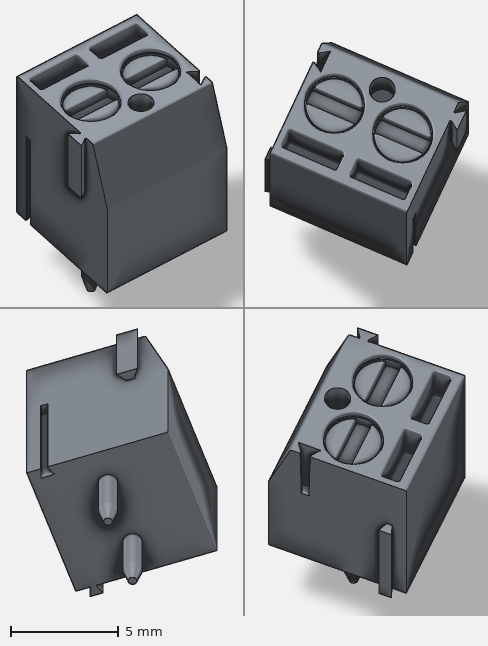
import cadquery as cq
import math


HOUSING_LENGTH = 7.0
POLE_PITCH = 3.5
POLE_COUNT = 2
HOUSING_WIDTH = POLE_COUNT * POLE_PITCH
HOUSING_HEIGHT = 8.7
SLOPE_RUN = 1.12
SLOPE_DROP = 3.35
EDGE_RADIUS = 0.1

BACK_X = -HOUSING_LENGTH / 2
WIRE_X = HOUSING_LENGTH / 2
SIDE_Y = HOUSING_WIDTH / 2
POLE_Y = [(i - (POLE_COUNT - 1) / 2) * POLE_PITCH for i in range(POLE_COUNT)]
POLE_X = BACK_X + 3.43

SCREW_RADIUS = 1.335
SCREW_SINK = 0.3
SCREW_EDGE_RADIUS = 0.09
COUNTERBORE_RADIUS = 1.4
COUNTERBORE_DEPTH = 0.23
SLOT_WIDTH = 0.8
SLOT_DEPTH = 0.5
SLOT_EDGE_RADIUS = 0.06

POCKET_LENGTH = 0.9
POCKET_WIDTH = 2.8
POCKET_DEPTH = 2.0
POCKET_CORNER_RADIUS = 0.12
POCKET_FLOOR_RADIUS = 0.1
POCKET_X = BACK_X + 0.98

HOLE_DIAMETER = 1.2
HOLE_DEPTH = 2.0
HOLE_X = BACK_X + 4.98

DOVETAIL_HEIGHT = 0.5
DOVETAIL_NECK = 0.08
DOVETAIL_OVERLAP = 0.1
GROOVE_CLEARANCE = 0.03
WIDE_X = BACK_X + 5.14
WIDE_NECK_WIDTH = 0.45
WIDE_TIP_WIDTH = 1.05
WIDE_LENGTH = 3.35
WIDE_GROOVE_DRAFT = 1.0
NARROW_X = BACK_X + 0.88
NARROW_NECK_WIDTH = 0.34
NARROW_TIP_WIDTH = 0.64
NARROW_LENGTH = 5.35

PIN_DIAMETER = 0.9
PIN_TIP_DIAMETER = 0.4
PIN_TIP_LENGTH = 0.9
PIN_LENGTH = 3.32


def make_housing():
    """Side outline extruded across the width, with its long edges rounded."""
    outline = [
        (BACK_X, 0),
        (WIRE_X, 0),
        (WIRE_X, HOUSING_HEIGHT - SLOPE_DROP),
        (WIRE_X - SLOPE_RUN, HOUSING_HEIGHT),
        (BACK_X, HOUSING_HEIGHT),
    ]
    block = cq.Workplane("XZ").polyline(outline).close().extrude(SIDE_Y, both=True)
    return block.edges("|Y").fillet(EDGE_RADIUS)


def arc_bend(radius):
    """Offset, along both legs of a square corner, of the middle of its rounding."""
    return radius * (1 - math.sqrt(0.5))


def make_screw_hole():
    """Stepped recess above a screw head, from its rounded rim at Z = 0 to the rounded head."""
    rim_bend = arc_bend(EDGE_RADIUS)
    head_bend = arc_bend(SCREW_EDGE_RADIUS)
    return (
        cq.Workplane("XZ")
        .lineTo(COUNTERBORE_RADIUS + EDGE_RADIUS, 0)
        .threePointArc((COUNTERBORE_RADIUS + rim_bend, -rim_bend), (COUNTERBORE_RADIUS, -EDGE_RADIUS))
        .lineTo(COUNTERBORE_RADIUS, -COUNTERBORE_DEPTH)
        .lineTo(SCREW_RADIUS, -COUNTERBORE_DEPTH)
        .lineTo(SCREW_RADIUS, -SCREW_SINK - SCREW_EDGE_RADIUS)
        .threePointArc(
            (SCREW_RADIUS - head_bend, -SCREW_SINK - head_bend),
            (SCREW_RADIUS - SCREW_EDGE_RADIUS, -SCREW_SINK),
        )
        .lineTo(0, -SCREW_SINK)
        .close()
        .revolve(360, (0, 0, 0), (0, 1, 0))
    )


def make_slot():
    """Driver slot with flared top edges, its ends following the rim of the head."""
    half = SLOT_WIDTH / 2
    e = SLOT_EDGE_RADIUS
    bend = arc_bend(e)
    top = -SCREW_SINK
    profile = (
        cq.Workplane("XZ")
        .moveTo(-half - e, top)
        .threePointArc((-half - bend, top - bend), (-half, top - e))
        .lineTo(-half, top - SLOT_DEPTH)
        .lineTo(half, top - SLOT_DEPTH)
        .lineTo(half, top - e)
        .threePointArc((half + bend, top - bend), (half + e, top))
        .close()
        .extrude(SCREW_RADIUS, both=True)
    )
    bound = cq.Workplane("XY").circle(SCREW_RADIUS).extrude(-SCREW_SINK - SLOT_DEPTH)
    return profile.intersect(bound)


def cut_pockets(body):
    """Rectangular test pockets beside the screws, with rounded rims and floors."""
    pocket = (
        cq.Workplane("XY")
        .rect(POCKET_LENGTH, POCKET_WIDTH)
        .extrude(-POCKET_DEPTH)
        .edges("|Z")
        .fillet(POCKET_CORNER_RADIUS)
        .faces("<Z")
        .edges()
        .fillet(POCKET_FLOOR_RADIUS)
    )
    for y in POLE_Y:
        body = body.cut(pocket.translate((POCKET_X, y, HOUSING_HEIGHT)))
    top_face = body.faces(">Z").val()
    rims = [edge for wire in top_face.innerWires() for edge in wire.Edges()]
    return body.newObject(rims).fillet(EDGE_RADIUS)


def dovetail_outline(neck_width, tip_width, height):
    """Outline on XY: straight neck crossing Y = 0, then flaring to the tip at Y = height."""
    right_side = [
        (neck_width / 2, -DOVETAIL_OVERLAP),
        (neck_width / 2, DOVETAIL_NECK),
        (tip_width / 2, height),
    ]
    left_side = [(-x, y) for x, y in reversed(right_side)]
    return cq.Workplane("XY").polyline(right_side + left_side).close()


def make_pin():
    """Round solder pin with a tapered tip, hanging below Z = 0."""
    return (
        cq.Workplane("XZ")
        .polyline([
            (0, 0),
            (PIN_DIAMETER / 2, 0),
            (PIN_DIAMETER / 2, PIN_TIP_LENGTH - PIN_LENGTH),
            (PIN_TIP_DIAMETER / 2, -PIN_LENGTH),
            (0, -PIN_LENGTH),
        ])
        .close()
        .revolve(360, (0, 0, 0), (0, 1, 0))
    )


def add_poles(body):
    """Screw and solder pin of every pole."""
    for y in POLE_Y:
        screw_place = (POLE_X, y, HOUSING_HEIGHT)
        body = body.cut(make_screw_hole().translate(screw_place))
        body = body.cut(make_slot().translate(screw_place))
        body = body.union(make_pin().translate((POLE_X, y, 0)))
    return body


def cut_round_hole(body):
    """Blind round hole midway between the screws."""
    hole = cq.Workplane("XY").circle(HOLE_DIAMETER / 2).extrude(-HOLE_DEPTH)
    return body.cut(hole.translate((HOLE_X, 0, HOUSING_HEIGHT)))


def add_wide_dovetails(body):
    """Wide rail on the -Y side and looser, drafted groove on the +Y side, at the top."""
    rail = dovetail_outline(WIDE_NECK_WIDTH, WIDE_TIP_WIDTH, DOVETAIL_HEIGHT).extrude(-WIDE_LENGTH)
    groove = dovetail_outline(
        WIDE_NECK_WIDTH + 2 * GROOVE_CLEARANCE,
        WIDE_TIP_WIDTH + 2 * GROOVE_CLEARANCE,
        DOVETAIL_HEIGHT + GROOVE_CLEARANCE,
    ).extrude(-WIDE_LENGTH, taper=WIDE_GROOVE_DRAFT)
    flip = ((0, 0, 0), (0, 0, 1), 180)
    body = body.union(rail.rotate(*flip).translate((WIDE_X, -SIDE_Y, HOUSING_HEIGHT)))
    return body.cut(groove.rotate(*flip).translate((WIDE_X, SIDE_Y, HOUSING_HEIGHT)))


def add_narrow_dovetails(body):
    """Narrow rail on the +Y side and groove on the -Y side, at the bottom."""
    outline = dovetail_outline(NARROW_NECK_WIDTH, NARROW_TIP_WIDTH, DOVETAIL_HEIGHT)
    bar = outline.extrude(NARROW_LENGTH)
    body = body.union(bar.translate((NARROW_X, SIDE_Y, 0)))
    return body.cut(bar.translate((NARROW_X, -SIDE_Y, 0)))


result = make_housing()
result = cut_pockets(result)
result = add_poles(result)
result = cut_round_hole(result)
result = add_wide_dovetails(result)
result = add_narrow_dovetails(result)